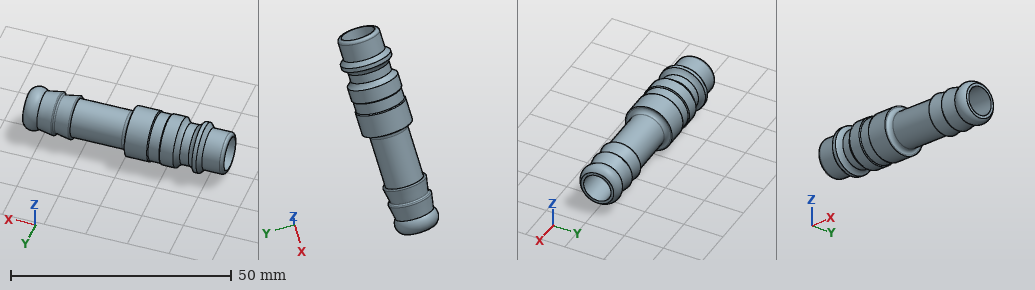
import cadquery as cq
import math

length = 48.3

body_radius = 12.0 / 2
nose_radius = 9.9 / 2
nose_fillet = 0.75
neck_radius = 9.75 / 2
neck_flank_length = 1.25
neck_flank_arc = 2.9
collar_base_x = 4.97
collar_chamfer = body_radius - nose_radius
collar_end_x = 7.0
body_start_x = 11.6

groove_start_x = 14.8
groove_end_x = 17.85
groove_radius = 11.5 / 2
groove_depth = body_radius - groove_radius
body_end_x = 23.3

tail_radius = 9.1 / 2
tail_fillet = 1.1
barb_radius = 5.15
barb_lip = 0.3
barb_root_fillet = barb_radius - barb_lip - tail_radius
first_barb_x = 36.75
second_barb_x = 40.85
bulb_arc = 2.4
bulb_crest_x = 46.35
bulb_center_radius = barb_radius - bulb_arc
bulb_start_x = bulb_crest_x - math.sqrt(bulb_arc**2 - (tail_radius - bulb_center_radius) ** 2)
bulb_end_radius = bulb_center_radius + math.sqrt(bulb_arc**2 - (length - bulb_crest_x) ** 2)

bore_radius = 7.0 / 2
plug_bore_radius = 7.85 / 2
plug_bore_depth = body_end_x
drill_half_angle = math.radians(59)
drill_cone_length = (plug_bore_radius - bore_radius) / math.tan(drill_half_angle)


def arc_midpoint(center_x, center_y, radius, degrees):
    """Point on a circle, used to steer a quarter arc through its middle."""
    angle = math.radians(degrees)
    return (center_x + radius * math.cos(angle), center_y + radius * math.sin(angle))


def add_round_lip(profile, wall_x):
    """Quarter-round barb edge from the end of the barb wall up to its crest."""
    middle = arc_midpoint(wall_x + barb_lip, barb_radius - barb_lip, barb_lip, 135)
    return profile.threePointArc(middle, (wall_x + barb_lip, barb_radius))


def outer_body():
    nose_arc_middle = arc_midpoint(nose_fillet, nose_radius - nose_fillet, nose_fillet, 135)
    profile = (
        cq.Workplane("XY")
        .lineTo(0, nose_radius - nose_fillet)
        .threePointArc(nose_arc_middle, (nose_fillet, nose_radius))
        .lineTo(collar_base_x, nose_radius)
        .lineTo(collar_base_x + collar_chamfer, body_radius)
        .lineTo(collar_end_x, body_radius)
    )

    neck_start_x = collar_end_x + neck_flank_length
    neck_end_x = body_start_x - neck_flank_length
    profile = (
        profile
        .radiusArc((neck_start_x, neck_radius), -neck_flank_arc)
        .lineTo(neck_end_x, neck_radius)
        .radiusArc((body_start_x, body_radius), -neck_flank_arc)
    )

    profile = (
        profile
        .lineTo(groove_start_x, body_radius)
        .lineTo(groove_start_x + groove_depth, groove_radius)
        .lineTo(groove_end_x - groove_depth, groove_radius)
        .lineTo(groove_end_x, body_radius)
        .lineTo(body_end_x, body_radius)
    )

    tail_start_x = body_end_x + tail_fillet
    profile = (
        profile
        .lineTo(body_end_x, tail_radius + tail_fillet)
        .threePointArc(
            arc_midpoint(tail_start_x, tail_radius + tail_fillet, tail_fillet, 225),
            (tail_start_x, tail_radius),
        )
        .lineTo(first_barb_x, tail_radius)
        .lineTo(first_barb_x, barb_radius - barb_lip)
    )

    root_x = second_barb_x - barb_root_fillet
    profile = (
        add_round_lip(profile, first_barb_x)
        .lineTo(root_x, tail_radius)
        .threePointArc(
            arc_midpoint(root_x, tail_radius + barb_root_fillet, barb_root_fillet, 315),
            (second_barb_x, barb_radius - barb_lip),
        )
    )

    profile = (
        add_round_lip(profile, second_barb_x)
        .lineTo(bulb_start_x, tail_radius)
        .threePointArc((bulb_crest_x, barb_radius), (length, bulb_end_radius))
        .lineTo(length, 0)
        .close()
    )
    return profile.revolve(360, (0, 0, 0), (1, 0, 0))


def stepped_bore():
    """Through bore, wider in the plug end, with a drill-point cone at the step."""
    return (
        cq.Workplane("XY")
        .lineTo(0, plug_bore_radius)
        .lineTo(plug_bore_depth, plug_bore_radius)
        .lineTo(plug_bore_depth + drill_cone_length, bore_radius)
        .lineTo(length, bore_radius)
        .lineTo(length, 0)
        .close()
        .revolve(360, (0, 0, 0), (1, 0, 0))
    )


result = outer_body().cut(stepped_bore())